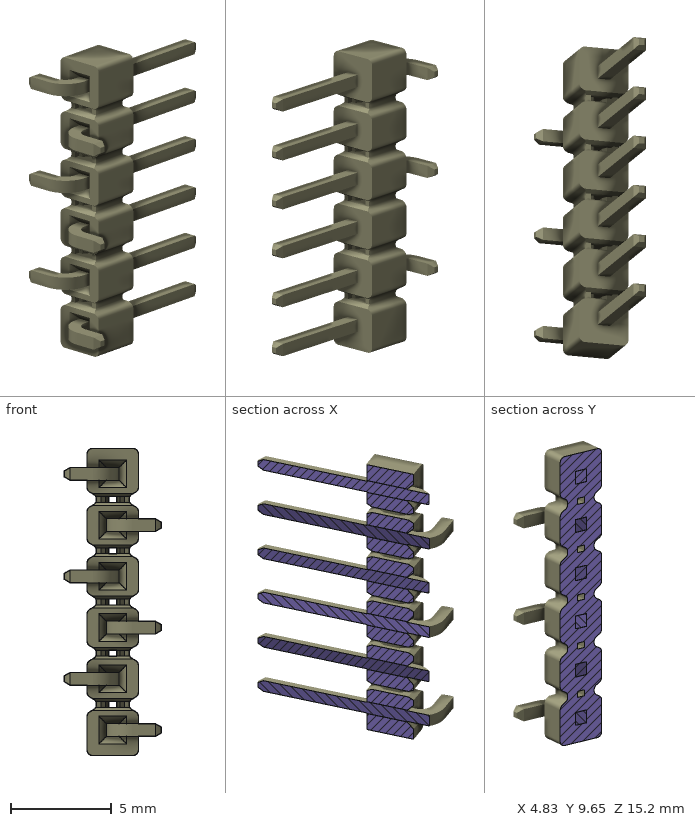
import cadquery as cq
import math

PIN_COUNT = 6
ROW_LENGTH = 15.24
PITCH = ROW_LENGTH / PIN_COUNT

HOUSING_WIDTH = 2.56
HOUSING_DEPTH = 2.55
CORNER_RADIUS = 0.29

WAIST_WIDTH = 1.65
WAIST_FLAT_HEIGHT = 0.08
SHOULDER_ANGLE = math.radians(60)
WAIST_RADIUS = 0.25

GROOVE_DEPTH = 0.29
GROOVE_MOUTH_HEIGHT = 0.58
GROOVE_FLOOR_HEIGHT = 0.29

RECESS_WIDTH = 1.16
RECESS_DEPTH = 0.29
OPENING_MOUTH_WIDTH = 0.7
OPENING_THROAT_WIDTH = 0.38
OPENING_TAPER_LENGTH = 0.27

PIN_SIZE = 0.64
PIN_LENGTH_BEHIND_HOUSING = 5.84
FOOT_DROP = 1.26
FOOT_SPAN = 4.83
BEND_INNER_RADIUS = 0.64
TIP_SIZE = 0.29
TIP_LENGTH = 0.3

POCKET_SIZE = 1.37
POCKET_DEPTH = (POCKET_SIZE - PIN_SIZE) / 2

BEND_RADIUS = BEND_INNER_RADIUS + PIN_SIZE / 2
FOOT_Y = -FOOT_DROP + PIN_SIZE / 2
BEND_START_Y = FOOT_Y + BEND_RADIUS
PIN_END_Y = HOUSING_DEPTH + PIN_LENGTH_BEHIND_HOUSING
CELL_HEIGHTS = [(index - (PIN_COUNT - 1) / 2) * PITCH for index in range(PIN_COUNT)]
WAIST_HEIGHTS = [index * PITCH - ROW_LENGTH / 2 for index in range(1, PIN_COUNT)]


def front_plane(y=0.0, z=0.0):
    """Plane at the given place with local x along X, local y along Z and its normal toward -Y."""
    return cq.Plane(origin=(0, y, z), xDir=(1, 0, 0), normal=(0, -1, 0))


def waist_side_cut(side, height):
    """S-shaped notch on one side (+1 or -1) of the waist at the given height."""
    half_width = HOUSING_WIDTH / 2
    bottom_x = WAIST_WIDTH / 2
    sine = math.sin(SHOULDER_ANGLE)
    cosine = math.cos(SHOULDER_ANGLE)
    middle_sine = math.sin(SHOULDER_ANGLE / 2)
    middle_cosine = math.cos(SHOULDER_ANGLE / 2)

    flat_end = WAIST_FLAT_HEIGHT / 2
    hollow_end = (bottom_x + WAIST_RADIUS * (1 - cosine), flat_end + WAIST_RADIUS * sine)
    hollow_middle = (bottom_x + WAIST_RADIUS * (1 - middle_cosine), flat_end + WAIST_RADIUS * middle_sine)
    shoulder_start_x = half_width - CORNER_RADIUS * (1 - cosine)
    slope_rise = (shoulder_start_x - hollow_end[0]) * cosine / sine
    shoulder_start = (shoulder_start_x, hollow_end[1] + slope_rise)
    shoulder_top = shoulder_start[1] + CORNER_RADIUS * sine
    shoulder_middle = (
        half_width - CORNER_RADIUS * (1 - middle_cosine),
        shoulder_top - CORNER_RADIUS * middle_sine,
    )

    def at(point, end):
        return (side * point[0], end * point[1])

    return (
        cq.Workplane(front_plane(0, height))
        .moveTo(*at((half_width, shoulder_top), -1))
        .threePointArc(at(shoulder_middle, -1), at(shoulder_start, -1))
        .lineTo(*at(hollow_end, -1))
        .threePointArc(at(hollow_middle, -1), at((bottom_x, flat_end), -1))
        .lineTo(*at((bottom_x, flat_end), 1))
        .threePointArc(at(hollow_middle, 1), at(hollow_end, 1))
        .lineTo(*at(shoulder_start, 1))
        .threePointArc(at(shoulder_middle, 1), at((half_width, shoulder_top), 1))
        .close()
        .extrude(-HOUSING_DEPTH)
    )


def groove_cut(face_y, inward, height):
    """Tapered groove across the face at face_y, cut in the direction inward (+1 or -1) along Y."""
    floor_y = face_y + inward * GROOVE_DEPTH
    return (
        cq.Workplane("YZ", origin=(-HOUSING_WIDTH / 2, 0, height))
        .polyline([
            (face_y, -GROOVE_MOUTH_HEIGHT / 2),
            (floor_y, -GROOVE_FLOOR_HEIGHT / 2),
            (floor_y, GROOVE_FLOOR_HEIGHT / 2),
            (face_y, GROOVE_MOUTH_HEIGHT / 2),
        ])
        .close()
        .extrude(HOUSING_WIDTH)
    )


def opening_cut(height):
    """Stepped opening through a waist: wide recesses front and back, tapering to a straight throat."""
    front_y = GROOVE_DEPTH
    front_step_y = front_y + RECESS_DEPTH
    right_side = [
        (RECESS_WIDTH / 2, front_y),
        (RECESS_WIDTH / 2, front_step_y),
        (OPENING_MOUTH_WIDTH / 2, front_step_y),
        (OPENING_THROAT_WIDTH / 2, front_step_y + OPENING_TAPER_LENGTH),
    ]
    right_side += [(x, HOUSING_DEPTH - y) for x, y in reversed(right_side)]
    left_side = [(-x, y) for x, y in reversed(right_side)]
    return (
        cq.Workplane("XY", origin=(0, 0, height - GROOVE_FLOOR_HEIGHT / 2))
        .polyline(right_side + left_side)
        .close()
        .extrude(GROOVE_FLOOR_HEIGHT)
    )


def pocket_cut(height):
    """Tapered pocket in the front face and the straight pin hole behind it."""
    pocket = (
        cq.Workplane(front_plane(0, height))
        .rect(POCKET_SIZE, POCKET_SIZE)
        .workplane(offset=-POCKET_DEPTH)
        .rect(PIN_SIZE, PIN_SIZE)
        .loft(ruled=True)
    )
    hole = cq.Workplane(front_plane(0, height)).rect(PIN_SIZE, PIN_SIZE).extrude(-HOUSING_DEPTH)
    return pocket.union(hole)


def make_housing():
    housing = (
        cq.Workplane(front_plane())
        .rect(HOUSING_WIDTH, ROW_LENGTH)
        .extrude(-HOUSING_DEPTH)
        .edges("|Y")
        .fillet(CORNER_RADIUS)
    )
    for height in WAIST_HEIGHTS:
        housing = housing.cut(waist_side_cut(1, height)).cut(waist_side_cut(-1, height))
        housing = housing.cut(groove_cut(0, 1, height))
        housing = housing.cut(groove_cut(HOUSING_DEPTH, -1, height))
        housing = housing.cut(opening_cut(height))
    for height in CELL_HEIGHTS:
        housing = housing.cut(pocket_cut(height))
    return housing


def tapered_tip(plane):
    """Square pyramid frustum that ends a pin, growing along the normal of the plane."""
    return (
        cq.Workplane(plane)
        .rect(PIN_SIZE, PIN_SIZE)
        .workplane(offset=TIP_LENGTH)
        .rect(TIP_SIZE, TIP_SIZE)
        .loft(ruled=True)
    )


def make_pin(height, side):
    """Pin with its foot bent toward +X (side = 1) or -X (side = -1)."""
    shank_end_y = PIN_END_Y - TIP_LENGTH
    foot_end_x = side * (FOOT_SPAN / 2 - TIP_LENGTH)
    bend_reach = BEND_RADIUS * math.sqrt(0.5)
    bend_middle = (side * (BEND_RADIUS - bend_reach), BEND_START_Y - bend_reach)
    path = (
        cq.Workplane("XY", origin=(0, 0, height))
        .moveTo(0, shank_end_y)
        .lineTo(0, BEND_START_Y)
        .threePointArc(bend_middle, (side * BEND_RADIUS, FOOT_Y))
        .lineTo(foot_end_x, FOOT_Y)
    )
    wire = cq.Workplane(front_plane(shank_end_y, height)).rect(PIN_SIZE, PIN_SIZE).sweep(path)
    shank_tip = tapered_tip(cq.Plane(origin=(0, shank_end_y, height), xDir=(1, 0, 0), normal=(0, 1, 0)))
    foot_tip = tapered_tip(
        cq.Plane(origin=(foot_end_x, FOOT_Y, height), xDir=(0, 1, 0), normal=(side, 0, 0))
    )
    return wire.union(shank_tip).union(foot_tip)


housing = make_housing()

pins = []
for index, height in enumerate(CELL_HEIGHTS):
    foot_side = 1 if index % 2 == 0 else -1
    pins.append(make_pin(height, foot_side))

result = cq.Compound.makeCompound([housing.val(), *[pin.val() for pin in pins]])